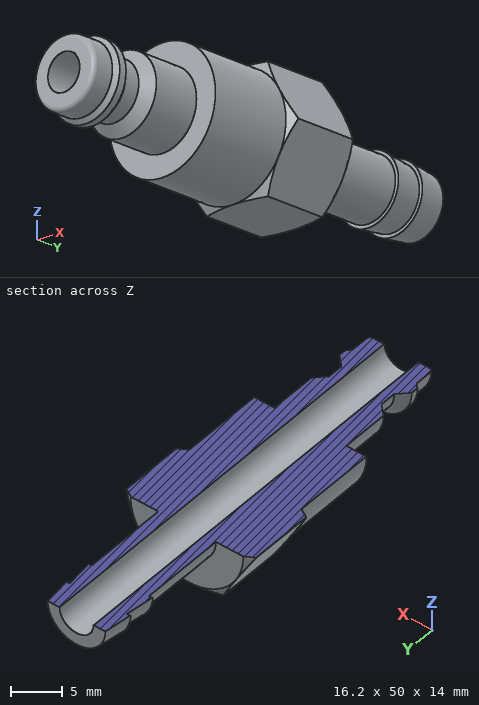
import cadquery as cq
import math

length = 50.0
bore_radius = 2.1

tip_radius = 4.0
tip_fillet = 0.5
plug_radius = 4.5
neck_radius = 3.3
collar_start = 2.6
collar_bevel = plug_radius - tip_radius
collar_end = 4.0
groove_slope = plug_radius - neck_radius
plug_shoulder = 8.3

across_flats = 14.0
body_radius = across_flats / 2
body_start = 14.0
hex_start = 24.0
hex_end = 33.0
hex_corner_radius = body_radius / math.cos(math.pi / 6)
chamfer_depth = (hex_corner_radius - body_radius) * math.tan(math.pi / 6)

hose_radius = 3.6
barb_radius = 4.0
barb_length = 3.4
barb_count = 2


def make_turned_body():
    """Revolve the plug, cylindrical body and barbed tail around Y."""
    profile = [
        (0, 0),
        (tip_radius, 0),
        (tip_radius, collar_start),
        (plug_radius, collar_start + collar_bevel),
        (plug_radius, collar_end),
        (neck_radius, collar_end + groove_slope),
        (neck_radius, plug_shoulder - groove_slope),
        (plug_radius, plug_shoulder),
        (plug_radius, body_start),
        (body_radius, body_start),
        (body_radius, hex_end),
        (hose_radius, hex_end),
        (hose_radius, length - barb_count * barb_length),
    ]
    for remaining in range(barb_count, 0, -1):
        barb_start = length - remaining * barb_length
        profile.append((barb_radius, barb_start))
        profile.append((hose_radius, barb_start + barb_length))
    profile.append((0, length))
    body = cq.Workplane("XY").polyline(profile).close().revolve(360, (0, 0), (0, 1))
    return body.faces("<Y").edges().fillet(tip_fillet)


def make_hexagon():
    """Hexagon with corners on X, its ends trimmed by 30 degree cones."""
    hexagon = (
        cq.Workplane("XZ", origin=(0, hex_start, 0))
        .polygon(6, 2 * hex_corner_radius)
        .extrude(hex_start - hex_end)
    )
    trim_profile = [
        (0, hex_start),
        (body_radius, hex_start),
        (hex_corner_radius, hex_start + chamfer_depth),
        (hex_corner_radius, hex_end - chamfer_depth),
        (body_radius, hex_end),
        (0, hex_end),
    ]
    trim = cq.Workplane("XY").polyline(trim_profile).close().revolve(360, (0, 0), (0, 1))
    return hexagon.intersect(trim)


bore = cq.Workplane("XZ").circle(bore_radius).extrude(-length)
result = make_turned_body().union(make_hexagon()).cut(bore)